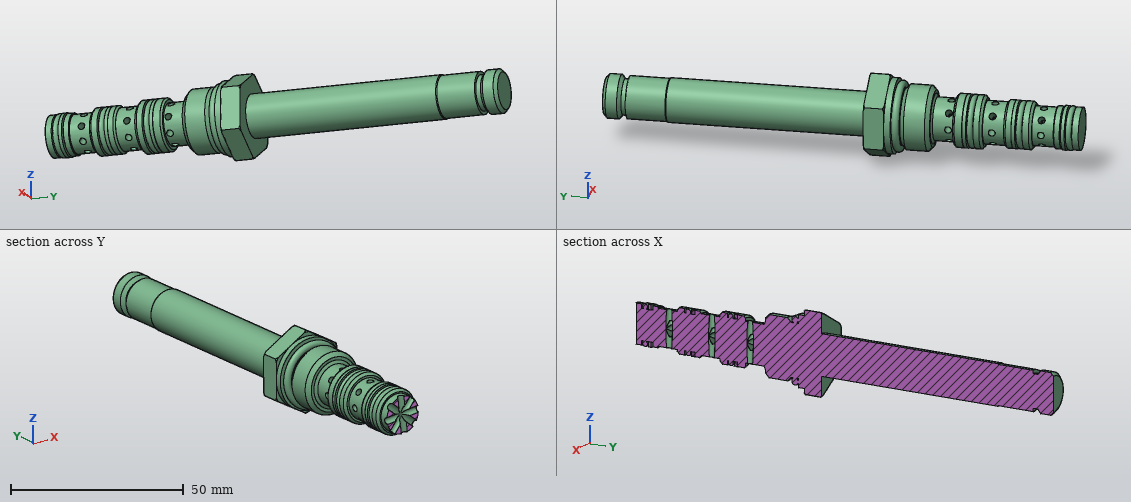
import cadquery as cq
import math


total_length = 140.26
hex_across_flats = 22.23
hex_across_corners = hex_across_flats / math.cos(math.radians(30))
y_hex_bottom = 56.4
y_hex_top = 62.4
hex_chamfer_radial = 0.45
hex_chamfer_axial = 0.4

tube_diameter = 13.06
tube_end_diameter = 12.66
tube_neck_diameter = 10.64
y_tube_step = 121.7
tube_step_length = 0.3
y_neck_start = 133.4
y_neck_end = 134.85
y_cap_start = 135.9
cap_chamfer = 1.0

collar_diameter = hex_across_flats
y_collar_bottom = 54.5
seal_neck_diameter = 16.75
seal_bead_outer_diameter = 21.0
seal_bead_section_diameter = 2.3
y_seal_bead = y_collar_bottom - seal_bead_section_diameter / 2
body_diameter = 19.3
body_chamfer = (body_diameter - seal_neck_diameter) / 2
y_body_top = 52.15
y_body_bottom = 43.4
body_cone_diameter = 14.8
body_cone_length = 0.5

upper_neck_diameter = 12.8
lower_neck_diameter = 11.68
port_diameter = 2.01
ports_per_row = 8
y_port_rows = [11.1, 25.45, 38.3]
port_angle_offset = -6.2

land_top_chamfer = 0.6
land_bottom_chamfer = 0.8
nose_top_chamfer = 0.2

upper_land = (15.8, 28.15, 36.85, 13.16, 30.7, 34.05)
middle_land = (14.19, 13.75, 21.95, 11.56, 16.4, 19.7)
nose_land = (12.59, 0.0, 7.4, 9.91, 1.9, 5.6)
lands = [upper_land, middle_land, nose_land]

bead_section_diameter = 1.78
bead_room = 2.2
nose_seal_diameter = 13.06

ring_thickness = 1.05


def revolve_profile(points):
    """Revolve a closed (radius, y) outline about the Y axis."""
    return cq.Workplane("XY").polyline(points).close().revolve(360, (0, 0, 0), (0, 1, 0))


def ring_band(inner_diameter, outer_diameter, y_bottom, y_top):
    """Plain ring of rectangular section about the Y axis."""
    inner = inner_diameter / 2
    outer = outer_diameter / 2
    return revolve_profile([(inner, y_bottom), (outer, y_bottom), (outer, y_top), (inner, y_top)])


def bead(outer_diameter, section_diameter, y_center):
    """Rounded sealing bead about the Y axis."""
    center_radius = (outer_diameter - section_diameter) / 2
    plane = cq.Plane(origin=(center_radius, y_center, 0), xDir=(-1, 0, 0), normal=(0, 0, 1))
    section = cq.Workplane(plane).circle(section_diameter / 2)
    return section.revolve(360, (center_radius, 0, 0), (center_radius, 1, 0))


def land_outline(land, top_chamfer, bottom_chamfer):
    """Outline points of a chamfered land, from bottom to top."""
    diameter, y_bottom, y_top = land[:3]
    radius = diameter / 2
    return [
        (radius - bottom_chamfer, y_bottom),
        (radius, y_bottom + bottom_chamfer),
        (radius, y_top - top_chamfer),
        (radius - top_chamfer, y_top),
    ]


def make_turned_core():
    """Turned shape of the nose, lands, body, collar and tube."""
    nose_radius = nose_land[0] / 2
    lower_neck = lower_neck_diameter / 2
    upper_neck = upper_neck_diameter / 2
    body = body_diameter / 2
    seal_neck = seal_neck_diameter / 2
    collar = collar_diameter / 2
    tube = tube_diameter / 2
    tube_end = tube_end_diameter / 2
    tube_neck = tube_neck_diameter / 2

    points = [(0, 0), (nose_radius, 0)]
    points += land_outline(nose_land, nose_top_chamfer, 0)[2:]
    points += [(lower_neck, nose_land[2]), (lower_neck, middle_land[1])]
    points += land_outline(middle_land, land_top_chamfer, land_bottom_chamfer)
    points += [(upper_neck, middle_land[2]), (upper_neck, upper_land[1])]
    points += land_outline(upper_land, land_top_chamfer, land_bottom_chamfer)
    points += [
        (upper_neck, upper_land[2]),
        (upper_neck, y_body_bottom - body_cone_length),
        (body_cone_diameter / 2, y_body_bottom),
        (body - body_chamfer, y_body_bottom),
        (body, y_body_bottom + body_chamfer),
        (body, y_body_top - body_chamfer),
        (seal_neck, y_body_top),
        (seal_neck, y_collar_bottom),
        (collar, y_collar_bottom),
        (collar, y_hex_bottom),
        (tube, y_hex_bottom),
        (tube, y_tube_step - tube_step_length),
        (tube_end, y_tube_step),
        (tube_end, y_neck_start),
        (tube_neck, y_neck_start),
        (tube_neck, y_neck_end),
        (tube, y_cap_start),
        (tube, total_length - cap_chamfer),
        (tube - cap_chamfer, total_length),
        (0, total_length),
    ]
    return revolve_profile(points)


def make_hexagon():
    """Hexagon with its corners along Z, chamfered at both ends."""
    height = y_hex_top - y_hex_bottom
    prism = (
        cq.Workplane("XZ", origin=(0, y_hex_top, 0))
        .polygon(6, hex_across_corners)
        .extrude(height)
        .rotate((0, 0, 0), (0, 1, 0), 30)
    )
    corner = hex_across_corners / 2
    end_radius = corner - hex_chamfer_radial
    envelope = revolve_profile(
        [
            (0, y_hex_bottom),
            (end_radius, y_hex_bottom),
            (corner, y_hex_bottom + hex_chamfer_axial),
            (corner, y_hex_top - hex_chamfer_axial),
            (end_radius, y_hex_top),
            (0, y_hex_top),
        ]
    )
    return prism.intersect(envelope)


def make_port_row(y_center):
    """Row of radial ports that meet on the axis, as cutting cylinders."""
    row = []
    for index in range(ports_per_row):
        angle = port_angle_offset + index * 360 / ports_per_row
        port = (
            cq.Workplane("XY", origin=(0, y_center, 0))
            .circle(port_diameter / 2)
            .extrude(upper_neck_diameter)
            .rotate((0, 0, 0), (0, 1, 0), angle)
        )
        row.append(port)
    return row


def make_cartridge():
    """Main body: turned core, hexagon, glands with their beads, and ports."""
    cartridge = make_turned_core().union(make_hexagon())
    for diameter, _, _, floor_diameter, y_gland_bottom, y_gland_top in lands:
        cartridge = cartridge.cut(ring_band(floor_diameter, 2 * diameter, y_gland_bottom, y_gland_top))
        bead_outer = max(diameter, nose_seal_diameter)
        y_bead = y_gland_bottom + bead_room / 2
        cartridge = cartridge.union(bead(bead_outer, bead_section_diameter, y_bead))
    cartridge = cartridge.union(bead(seal_bead_outer_diameter, seal_bead_section_diameter, y_seal_bead))
    for y_center in y_port_rows:
        for port in make_port_row(y_center):
            cartridge = cartridge.cut(port)
    return cartridge


def make_backup_ring(land):
    """Backup ring on the gland floor, just above the bead."""
    diameter, _, _, floor_diameter, y_gland_bottom, _ = land
    outer_diameter = max(diameter, nose_seal_diameter)
    y_bottom = y_gland_bottom + bead_room
    return ring_band(floor_diameter, outer_diameter, y_bottom, y_bottom + ring_thickness)


cartridge = make_cartridge()
backup_rings = [make_backup_ring(land) for land in lands]
result = cq.Compound.makeCompound([cartridge.val(), *[ring.val() for ring in backup_rings]])